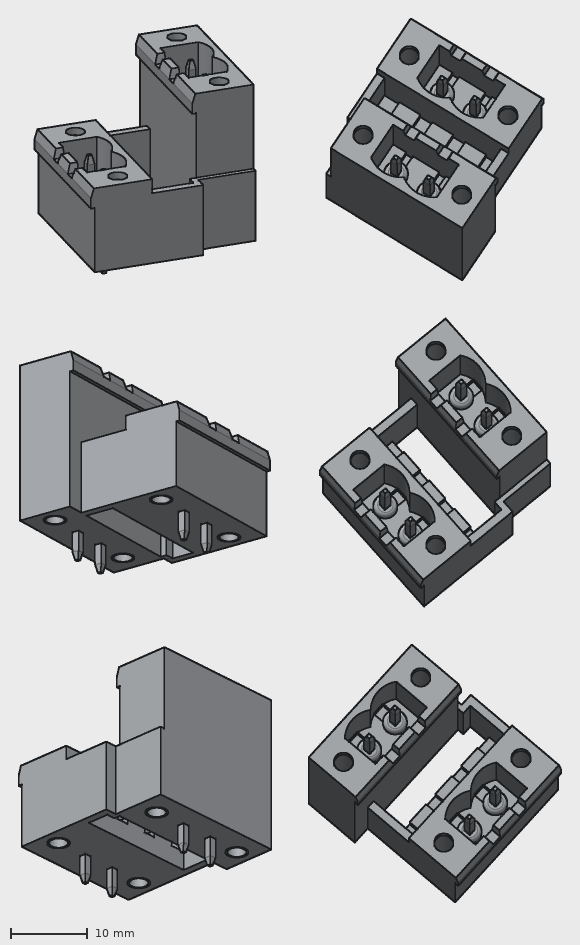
import cadquery as cq


pitch = 5.08
half_pitch = pitch / 2
pins_per_row = 2
stations = pins_per_row + 2
row_width = 20.33
row_depth = 8.0
row_gap = 15.15
pin_line = 3.8
overall_height = 25.9
rear_height = 22.0
front_height = 12.0
rear_row = (0, 0, rear_height)
front_row = (half_pitch, -row_gap, front_height)
rows = (rear_row, front_row)

lip_out = 0.55
lip_height = 2.82
lip_bevel_height = 1.35
lip_bevel_depth = 0.41

pocket_width = pins_per_row * pitch
pocket_rear = 0.9
pocket_arc_rise = 0.88
front_wall = 1.45
pocket_front = row_depth + lip_out - front_wall
pocket_depth = 8.3

notch_top_width = 1.95
notch_bottom_width = 1.35
notch_depth = lip_bevel_height

wide_groove = 1.85
groove_depth = 1.0
collar_diameter = 3.15
collar_height = 1.0
collar_fillet = 0.57

pin_width = 1.0
pin_tip_width = 0.5
pin_taper = 1.15
pin_below = overall_height - rear_height
pin_top_gap = 1.2

screw_hole_diameter = 2.5
sleeve_diameter = 3.0
sleeve_cover = 1.04

wall_height = 10.0
wall_thickness = 1.17
side_strip = 0.73
jog_thickness = 0.93
ledge_depth = 2.93

pin_xs = [half_pitch + pitch * i for i in range(1, stations - 1)]
screw_xs = [half_pitch, half_pitch + pitch * (stations - 1)]


def box(x0, x1, y0, y1, z0, z1):
    """Box between two opposite corners."""
    return cq.Workplane("XY").box(x1 - x0, y1 - y0, z1 - z0, centered=False).translate((x0, y0, z0))


def place(body, row):
    """Move a body from row coordinates to its row."""
    row_x, row_y, _ = row
    return body.translate((row_x, row_y, 0))


def row_block(height):
    """Plain row with the bevelled lip along its front."""
    front = -row_depth
    lip = front - lip_out
    profile = [
        (0, 0),
        (0, height),
        (lip + lip_bevel_depth, height),
        (lip, height - lip_bevel_height),
        (lip, height - lip_height),
        (front, height - lip_height),
        (front, 0),
    ]
    return cq.Workplane("YZ").polyline(profile).close().extrude(row_width)


def plug_pocket(height):
    """Pocket with one shallow arc behind each pin."""
    left = pin_xs[0] - half_pitch
    arc_end = -(pocket_rear + pocket_arc_rise)
    outline = cq.Workplane("XY").workplane(offset=height - pocket_depth).moveTo(left, -pocket_front)
    outline = outline.lineTo(left, arc_end)
    for x in pin_xs:
        outline = outline.threePointArc((x, -pocket_rear), (x + half_pitch, arc_end))
    outline = outline.lineTo(left + pocket_width, -pocket_front).close()
    return outline.extrude(pocket_depth)


def notch(x, height):
    """Tapered notch from the pocket through the lip."""
    bottom = height - notch_depth
    profile = [
        (x - notch_top_width / 2, height),
        (x + notch_top_width / 2, height),
        (x + notch_bottom_width / 2, bottom),
        (x - notch_bottom_width / 2, bottom),
    ]
    cutter = cq.Workplane("XZ").workplane(offset=pocket_front).polyline(profile).close()
    return cutter.extrude(row_depth + lip_out - pocket_front)


def floor_grooves(x, height):
    """Wide groove behind a pin and a narrow one in front of it."""
    floor = height - pocket_depth
    bottom = floor - groove_depth
    wide = box(x - wide_groove / 2, x + wide_groove / 2, -pin_line, -pocket_rear, bottom, floor)
    narrow = box(x - pin_width / 2, x + pin_width / 2, -pocket_front, -pin_line, bottom, floor)
    return wide.union(narrow)


def collar(x, height):
    """Round collar with a rounded top edge, standing on the groove floor."""
    base = height - pocket_depth - groove_depth
    disc = cq.Workplane("XY", origin=(x, -pin_line, base)).circle(collar_diameter / 2)
    return disc.extrude(groove_depth + collar_height).faces(">Z").edges().fillet(collar_fillet)


def pin(x, height):
    """Square pin, tapered at both ends."""
    top = height - pin_top_gap
    shaft_bottom = pin_taper - pin_below
    shaft_top = top - pin_taper

    def taper(shaft_z, length):
        start = cq.Workplane("XY", origin=(x, -pin_line, shaft_z)).rect(pin_width, pin_width)
        return start.workplane(offset=length).rect(pin_tip_width, pin_tip_width).loft()

    shaft = cq.Workplane("XY", origin=(x, -pin_line, shaft_bottom)).rect(pin_width, pin_width)
    shaft = shaft.extrude(shaft_top - shaft_bottom)
    return shaft.union(taper(shaft_top, pin_taper)).union(taper(shaft_bottom, -pin_taper))


def cylinder(x, diameter, height):
    """Upright cylinder on the pin line, from the underside up."""
    return cq.Workplane("XY", origin=(x, -pin_line, 0)).circle(diameter / 2).extrude(height)


def sleeve(x, height):
    """Lining of a screw hole, from the underside to just below the top."""
    outer = cylinder(x, sleeve_diameter, height - sleeve_cover)
    return outer.cut(cylinder(x, screw_hole_diameter, height))


def housing_row(height):
    """One row of the housing, with the seats for its pins and sleeves."""
    row = row_block(height).cut(plug_pocket(height))
    for x in pin_xs:
        row = row.cut(notch(x, height)).cut(floor_grooves(x, height))
        row = row.union(collar(x, height)).cut(pin(x, height))
    for x in screw_xs:
        row = row.cut(cylinder(x, screw_hole_diameter, height))
        row = row.cut(cylinder(x, sleeve_diameter, height - sleeve_cover))
    return row


def side_walls():
    """Walls between the rows; the right one steps in and runs along the rear row."""
    left = half_pitch
    right = left + row_width
    left_wall = box(left, left + wall_thickness, -row_gap, -row_depth, 0, wall_height)
    right_wall = box(right - wall_thickness, right, -row_gap, -row_depth, 0, wall_height)
    jog = box(row_width, right, -row_depth - jog_thickness, -row_depth, 0, wall_height)
    strip = box(row_width, row_width + side_strip, -row_depth - jog_thickness, 0, 0, wall_height)
    return left_wall.union(right_wall).union(jog).union(strip)


def ledge():
    """Ledge behind the front row, with raised pads between the stations."""
    back = -row_gap + ledge_depth
    pad_top = front_height - pocket_depth
    base = box(half_pitch, half_pitch + row_width, -row_gap, back, 0, pad_top - groove_depth)
    half_pad = (pitch - wide_groove) / 2
    for i in range(1, stations):
        middle = half_pitch + pitch * i
        base = base.union(box(middle - half_pad, middle + half_pad, -row_gap, back, 0, pad_top))
    return base


housing = side_walls().union(ledge())
for row in rows:
    housing = housing.union(place(housing_row(row[2]), row))

pins = [place(pin(x, row[2]), row).val() for row in rows for x in pin_xs]
sleeves = [place(sleeve(x, row[2]), row).val() for row in rows for x in screw_xs]

result = cq.Compound.makeCompound([housing.val(), *pins, *sleeves])